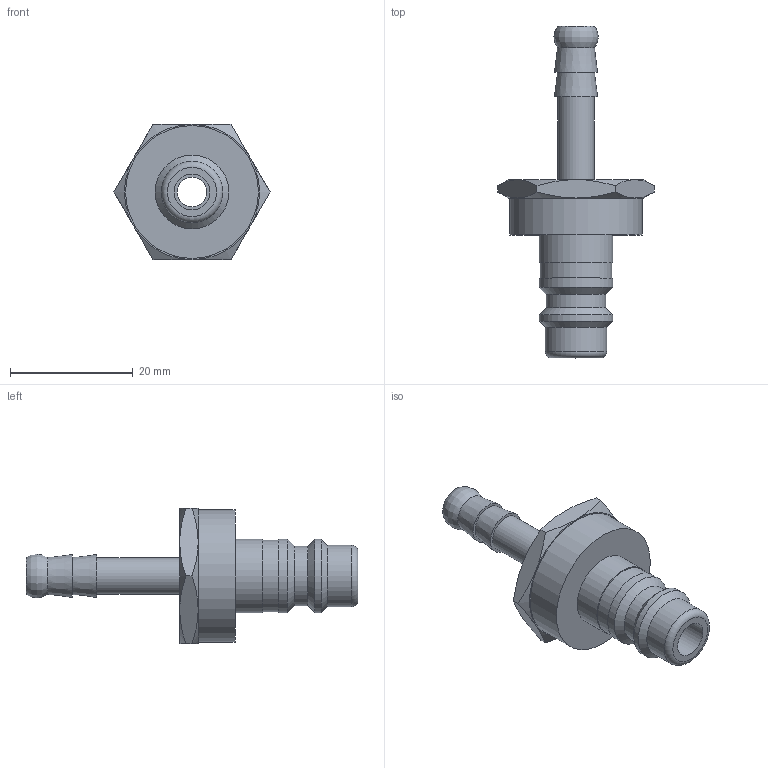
import cadquery as cq
import math

total_length = 54.0
ball_end = 3.5
barb_length = 4.0
barb_count = 2
hex_start = 25.0
hex_end = 28.0
collar_end = 34.0
relief_start = 38.5
relief_end = 41.0
groove_shoulder = 42.5
rib_start = 47.0
rib_end = 48.0

tube_radius = 3.0
ball_radius = 3.6
barb_radius = 3.5
collar_radius = 10.8
plug_radius = 6.0
relief_radius = 5.85
groove_radius = 4.85
nose_radius = 5.0
nose_fillet = 1.0
bore_radius = 2.4
nose_bore_radius = 2.9

groove_depth = plug_radius - groove_radius
groove_start = groove_shoulder + groove_depth
groove_end = rib_start - groove_depth
nose_start = rib_end + plug_radius - nose_radius

hex_across_flats = 22.0
hex_sides = 6
hex_chamfer_angle = 30.0

hose_end_y = total_length / 2


def make_revolved(profile):
    """Spin an outline of (radius, axial station) about the fitting axis."""
    solid = profile.close().revolve(360, (0, 0, 0), (0, 1, 0))
    return solid.rotate((0, 0, 0), (1, 0, 0), 180).translate((0, hose_end_y, 0))


def make_hose_tail():
    """Tube with a rounded bead at its tip followed by saw-tooth barbs."""
    profile = cq.Workplane("XY").lineTo(tube_radius, 0)
    profile = profile.threePointArc((ball_radius, ball_end / 2), (tube_radius, ball_end))
    for i in range(barb_count):
        barb_end = ball_end + (i + 1) * barb_length
        profile = profile.lineTo(barb_radius, barb_end).lineTo(tube_radius, barb_end)
    profile = profile.lineTo(tube_radius, hex_end).lineTo(0, hex_end)
    return make_revolved(profile)


def make_hexagon():
    """Wrench hexagon with corners on the X axis, chamfered on both faces."""
    flat_radius = hex_across_flats / 2
    corner_radius = flat_radius / math.cos(math.pi / hex_sides)
    chamfer_depth = (corner_radius - flat_radius) * math.tan(math.radians(hex_chamfer_angle))
    prism = (
        cq.Workplane("XZ", origin=(0, hose_end_y - hex_start, 0))
        .polygon(hex_sides, 2 * corner_radius)
        .extrude(hex_end - hex_start)
    )
    chamfer_envelope = make_revolved(
        cq.Workplane("XY")
        .moveTo(0, hex_start)
        .lineTo(flat_radius, hex_start)
        .lineTo(corner_radius, hex_start + chamfer_depth)
        .lineTo(corner_radius, hex_end - chamfer_depth)
        .lineTo(flat_radius, hex_end)
        .lineTo(0, hex_end)
    )
    return prism.intersect(chamfer_envelope)


def make_plug():
    """Collar and quick-connect plug with a shallow relief, a locking groove and a rounded nose."""
    fillet_start = total_length - nose_fillet
    fillet_inset = nose_fillet * (1 - math.sqrt(0.5))
    profile = (
        cq.Workplane("XY")
        .moveTo(0, hex_end)
        .lineTo(collar_radius, hex_end)
        .lineTo(collar_radius, collar_end)
        .lineTo(plug_radius, collar_end)
        .lineTo(plug_radius, relief_start)
        .lineTo(relief_radius, relief_start)
        .lineTo(relief_radius, relief_end)
        .lineTo(plug_radius, relief_end)
        .lineTo(plug_radius, groove_shoulder)
        .lineTo(groove_radius, groove_start)
        .lineTo(groove_radius, groove_end)
        .lineTo(plug_radius, rib_start)
        .lineTo(plug_radius, rib_end)
        .lineTo(nose_radius, nose_start)
        .lineTo(nose_radius, fillet_start)
        .threePointArc(
            (nose_radius - fillet_inset, total_length - fillet_inset),
            (nose_radius - nose_fillet, total_length),
        )
        .lineTo(0, total_length)
    )
    return make_revolved(profile)


def make_bore():
    """Through bore, wider from the nose up to the hexagon."""
    profile = (
        cq.Workplane("XY")
        .lineTo(bore_radius, 0)
        .lineTo(bore_radius, hex_end)
        .lineTo(nose_bore_radius, hex_end)
        .lineTo(nose_bore_radius, total_length)
        .lineTo(0, total_length)
    )
    return make_revolved(profile)


result = make_hose_tail().union(make_hexagon()).union(make_plug()).cut(make_bore())